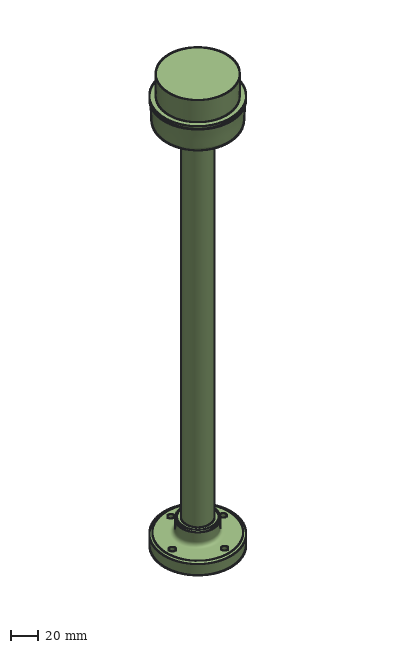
import cadquery as cq

total_height = 445.5
flange_diameter = 71.3

tube_diameter = 25.0

flange_height = 12.0
flange_chamfer_height = 1.5
flange_chamfer_width = 2.2
hub_diameter = 33.5
hub_top = 26.7
hub_chamfer = 1.5
hub_foot_radius = 4.0

hole_diameter = 5.5
hole_count = 4
hole_circle_radius = 27.0

cup_top_diameter = 70.0
cup_bottom_diameter = 68.0
cup_bottom = 398.2
cup_edge_radius = 4.5
collar_diameter = flange_diameter
collar_bottom = 421.5
collar_top = 424.5
cap_diameter = 62.0


def cylinder(diameter, bottom, top):
    """Solid cylinder on the Z axis between two heights."""
    return cq.Workplane("XY").workplane(offset=bottom).circle(diameter / 2).extrude(top - bottom)


def make_flange():
    """Flange disc and hub, joined by a concave foot, with screw holes."""
    disc = cylinder(flange_diameter, 0, flange_height)
    disc = disc.faces(">Z").chamfer(flange_chamfer_height, flange_chamfer_width)
    hub = cylinder(hub_diameter, 0, hub_top).faces(">Z").chamfer(hub_chamfer)
    hub_radius = hub_diameter / 2
    foot_top = flange_height + hub_foot_radius
    foot_outer = hub_radius + hub_foot_radius
    arc_offset = hub_foot_radius * (1 - 0.5 ** 0.5)
    foot = (
        cq.Workplane("XZ")
        .moveTo(0, flange_height)
        .lineTo(foot_outer, flange_height)
        .threePointArc((hub_radius + arc_offset, flange_height + arc_offset), (hub_radius, foot_top))
        .lineTo(0, foot_top)
        .close()
        .revolve(360, (0, 0, 0), (0, 1, 0))
    )
    holes = (
        cq.Workplane("XY")
        .polarArray(hole_circle_radius, 0, 360, hole_count)
        .circle(hole_diameter / 2)
        .extrude(flange_height)
    )
    return disc.union(hub).union(foot).cut(holes)


def make_head():
    """Slightly tapered cup with a rounded lower edge, topped by a collar and a plain cap."""
    cup = (
        cq.Workplane("XY")
        .workplane(offset=cup_bottom)
        .circle(cup_bottom_diameter / 2)
        .workplane(offset=collar_bottom - cup_bottom)
        .circle(cup_top_diameter / 2)
        .loft()
    )
    cup = cup.faces("<Z").edges().fillet(cup_edge_radius)
    collar = cylinder(collar_diameter, collar_bottom, collar_top)
    cap = cylinder(cap_diameter, collar_top, total_height)
    return cup.union(collar).union(cap)


tube = cylinder(tube_diameter, 0, collar_bottom)
result = make_flange().union(tube).union(make_head())